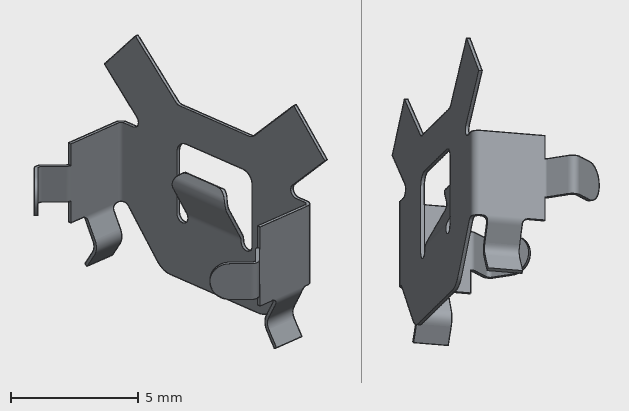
import cadquery as cq
import math


thickness = 0.15
overall_width = 12.23
overall_depth = 5.3
overall_height = 9.77

bottom_half_width = 2.89
bottom_corner_radius = 1.0
shoulder_half_width = 4.85
top_edge_z = 7.57
top_half_width = 2.05
arm_tip_half_width = 4.39
arm_width = 2.51
small_corner_radius = 0.29

window_half_width = 2.08
window_top_z = 6.0
window_corner_radius = 0.5
tongue_half_width = 1.48
tongue_root_z = 2.8
tongue_tip_z = 5.21
tongue_tip_radius = 0.7
tongue_lean = 29.0
tongue_lip_angle = 28.0
tongue_slant = 1.54
tongue_lip = 0.3
tongue_bend_radius = 0.45

wall_half_width = 5.32
wall_depth = 2.95
wall_bottom_z = 2.29
wall_top_z = 5.75
wall_bend_radius = 0.16

flap_width = 1.57
flap_angle = 45.0
flap_root_radius = 0.11
flap_crest_radius = 0.17

leg_width = 1.42
leg_center_depth = 1.32
leg_root_radius = 0.25
leg_slant_angle = 28.0
leg_foot_angle = 33.0
leg_slant = 0.78
leg_foot = 0.77
leg_bend_radius = 0.5


def step(point, heading, distance):
    angle = math.radians(heading)
    return (point[0] + distance * math.cos(angle), point[1] + distance * math.sin(angle))


def bent_strip(plane, start, heading, stretches):
    """Sheet profile drawn in a plane, and the end point of its left face.

    The start lies on the left face. Each stretch is a bend (angle in degrees,
    positive to the left, with its inside radius) followed by a straight length.
    """
    left = start
    left_path = [start]
    right_path = [step(start, heading - 90, thickness)]
    for turn, inside_radius, length in stretches:
        side = math.copysign(90, turn)
        left_radius = inside_radius if turn > 0 else inside_radius + thickness
        right_radius = 2 * inside_radius + thickness - left_radius
        center = step(left, heading + side, left_radius)
        for angle in (heading + turn / 2, heading + turn):
            left_path.append(step(center, angle - side, left_radius))
            right_path.append(step(center, angle - side, right_radius))
        heading += turn
        left = step(left_path[-1], heading, length)
        left_path.append(left)
        right_path.append(step(left, heading - 90, thickness))

    profile = cq.Workplane(plane).moveTo(*left_path[0])
    for i in range(1, len(left_path), 3):
        profile = profile.threePointArc(left_path[i], left_path[i + 1]).lineTo(*left_path[i + 2])
    profile = profile.lineTo(*right_path[-1])
    for i in range(len(right_path) - 2, 0, -3):
        profile = profile.lineTo(*right_path[i]).threePointArc(right_path[i - 1], right_path[i - 2])
    return profile.close(), left


def fillet_corners(body, corners, radius):
    """Round the plate corners at the given (x, z) places on both sides."""
    for x, z in corners:
        for side in (-1, 1):
            corner = cq.selectors.NearestToPointSelector((side * x, -thickness / 2, z))
            body = body.edges("|Y").edges(corner).fillet(radius)
    return body


def make_plate():
    edge_half_width = wall_half_width - thickness - wall_bend_radius
    arm_slope = math.atan2(overall_height - top_edge_z, arm_tip_half_width - top_half_width)
    tip_outer_x = overall_width / 2
    tip_outer_z = overall_height - arm_width * math.cos(arm_slope)
    notch_x = tip_outer_x - (tip_outer_z - wall_top_z) / math.tan(arm_slope)
    half_outline = [
        (bottom_half_width, 0),
        (shoulder_half_width, wall_bottom_z),
        (edge_half_width, wall_bottom_z),
        (edge_half_width, wall_top_z),
        (notch_x, wall_top_z),
        (tip_outer_x, tip_outer_z),
        (arm_tip_half_width, overall_height),
        (top_half_width, top_edge_z),
    ]
    mirrored = [(-x, z) for x, z in reversed(half_outline)]
    plate = cq.Workplane("XZ").polyline(half_outline + mirrored).close().extrude(thickness)
    plate = fillet_corners(plate, [(bottom_half_width, 0)], bottom_corner_radius)
    small_corners = [
        (shoulder_half_width, wall_bottom_z),
        (notch_x, wall_top_z),
        (top_half_width, top_edge_z),
    ]
    return fillet_corners(plate, small_corners, small_corner_radius)


def make_window():
    """Window opening whose lower ends run into round-ended slots beside the tongue."""
    height = window_top_z - tongue_root_z
    slot_radius = (window_half_width - tongue_half_width) / 2
    slot_x = window_half_width - slot_radius
    opening = (
        cq.Workplane("XZ")
        .center(0, tongue_root_z + height / 2)
        .rect(2 * window_half_width, height)
        .extrude(thickness)
        .edges("|Y and >Z")
        .fillet(window_corner_radius)
    )
    slot_ends = (
        cq.Workplane("XZ")
        .pushPoints([(-slot_x, tongue_root_z), (slot_x, tongue_root_z)])
        .circle(slot_radius)
        .extrude(thickness)
    )
    return opening.union(slot_ends)


def make_tongue():
    stretches = [
        (tongue_lean, tongue_bend_radius, tongue_slant),
        (-tongue_lean - tongue_lip_angle, tongue_bend_radius, tongue_lip),
    ]
    profile, _ = bent_strip("YZ", (-thickness, tongue_root_z), 90, stretches)
    height = tongue_tip_z - tongue_root_z
    front_shape = (
        cq.Workplane("XZ")
        .center(0, tongue_root_z + height / 2)
        .rect(2 * tongue_half_width, height)
        .extrude(overall_depth)
        .edges("|Y and >Z")
        .fillet(tongue_tip_radius)
    )
    return profile.extrude(tongue_half_width, both=True).intersect(front_shape)


def make_wall():
    outer_radius = wall_bend_radius + thickness
    start = (outer_radius - wall_half_width, -thickness)
    profile, _ = bent_strip("XY", start, 180, [(90, wall_bend_radius, wall_depth - outer_radius)])
    return profile.extrude(wall_top_z - wall_bottom_z).translate((0, 0, wall_bottom_z))


def make_flap():
    """Flap that leans outward, folds back inward and ends in a half circle."""
    sine = math.sin(math.radians(flap_angle))
    cosine = math.cos(math.radians(flap_angle))
    crest_outer_radius = flap_crest_radius + thickness
    tip_radius = flap_width / 2
    outward = overall_width / 2 - wall_half_width
    slant = (outward - (flap_root_radius + crest_outer_radius) * (1 - cosine)) / sine
    bend_depth = (flap_root_radius + 2 * crest_outer_radius) * sine
    return_length = (overall_depth - wall_depth - bend_depth) / cosine - slant
    start = (thickness - wall_half_width, -wall_depth)
    stretches = [
        (-flap_angle, flap_root_radius, slant),
        (2 * flap_angle, flap_crest_radius, return_length - tip_radius),
    ]
    profile, end = bent_strip("XY", start, -90, stretches)
    middle_z = (wall_bottom_z + wall_top_z) / 2
    strip = profile.extrude(flap_width / 2, both=True).translate((0, 0, middle_z))
    tip_plane = cq.Plane(origin=(end[0], end[1], middle_z), xDir=(0, 0, 1), normal=(-sine, -cosine, 0))
    tip = cq.Workplane(tip_plane).circle(tip_radius).extrude(thickness)
    return strip.union(tip)


def make_leg():
    """Leg that slants inward, turns back outward and widens into the wall at its root."""
    stretches = [
        (leg_slant_angle, leg_bend_radius, leg_slant),
        (-leg_slant_angle - leg_foot_angle, leg_bend_radius, leg_foot),
    ]
    profile, _ = bent_strip("XZ", (thickness - wall_half_width, wall_bottom_z), -90, stretches)
    half = leg_width / 2
    root_half = half + leg_root_radius
    flare_z = wall_bottom_z - leg_root_radius
    bow = leg_root_radius * math.sqrt(0.5)
    side_shape = (
        cq.Workplane("YZ")
        .center(-leg_center_depth, 0)
        .moveTo(-half, 0)
        .lineTo(half, 0)
        .lineTo(half, flare_z)
        .threePointArc((root_half - bow, flare_z + bow), (root_half, wall_bottom_z))
        .lineTo(-root_half, wall_bottom_z)
        .threePointArc((bow - root_half, flare_z + bow), (-half, flare_z))
        .close()
        .extrude(-overall_width / 2)
    )
    return profile.extrude(wall_depth).intersect(side_shape)


side = make_wall().union(make_flap()).union(make_leg())
result = make_plate().cut(make_window()).union(make_tongue())
result = result.union(side).union(side.mirror("YZ"))